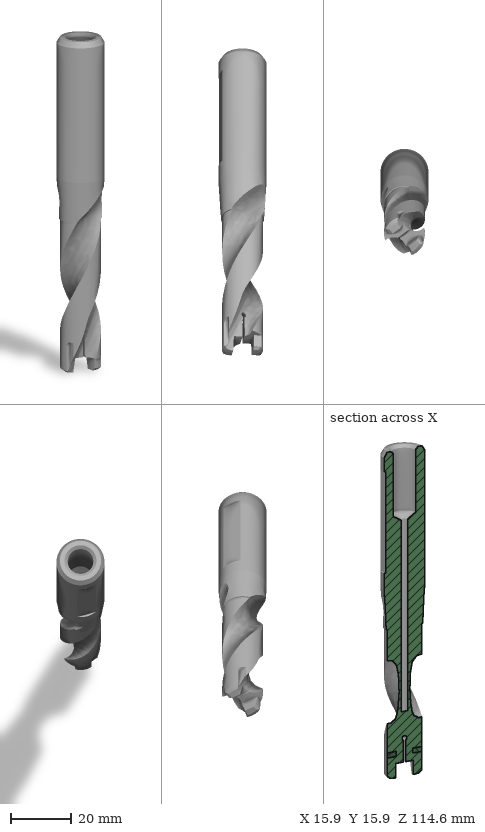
import cadquery as cq
import math

LENGTH = 114.6

SHANK_DIAMETER = 15.9
SHANK_BOTTOM = 66.6
TOP_CHAMFER_HEIGHT = 1.8
TOP_CHAMFER_WIDTH = 1.1
NECK_BOTTOM = 52.4
NECK_BOTTOM_DIAMETER = 14.3
CLAMP_FLAT_DEPTH = 0.7
CLAMP_FLAT_BOTTOM = 72.4
CLAMP_FLAT_TOP = 107.9

BORE_RADIUS = 4.2
BORE_DEPTH = 22.9
BORE_TIP_ANGLE = 118.0
COUNTERSINK_RADIUS = 5.3
COUNTERSINK_DEPTH = 1.0
COOLANT_RADIUS = 1.1
COOLANT_BOTTOM = 22.9

DRILL_DIAMETER = 13.5
CORE_RADIUS = 2.2
FLUTE_LEVEL = 50.4
UPPER_PITCH = 79.4
LOWER_PITCH = 88.3
UPPER_HALF_ANGLE = 50.0
LOWER_HALF_ANGLE = 37.0
PITCH_CHANGE_HEIGHT = 21.4
FLUTE_TOP = 53.1
NARROW_HEIGHT = 10.3
RUNOUT_RISE = 10.4
RUNOUT_SHIFT = 10.9
RUNOUT_OUTWARD = 0.9

SLOT_WIDTH = 6.5
SLOT_HEIGHT = 5.0
PRONG_SIDE_TOP = 3.8
PRONG_SIDE_BOTTOM = 3.3
PRONG_BEVEL = 1.0
TIP_CONE_RADIUS = 5.5
TIP_CONE_HEIGHT = 0.2
TIP_EDGE_HEIGHT = 1.1
SLIT_WIDTH = 0.7
SLIT_HOLE_HEIGHT = 13.4
SLIT_HOLE_RADIUS = 0.8
GULLET_SIDE = 1.8
GULLET_TOP = 11.1
GULLET_CORNER = 1.5
GULLET_FLOOR = 5.3

PIN_RADIUS = 1.0
PIN_OFFSET = 0.7
PIN_HEIGHT = 8.5
PIN_LENGTH = 3.4

SHANK_RADIUS = SHANK_DIAMETER / 2
DRILL_RADIUS = DRILL_DIAMETER / 2
NECK_BOTTOM_RADIUS = NECK_BOTTOM_DIAMETER / 2
REACH = SHANK_DIAMETER
CUT_MARGIN = 1.1
LOFT_STEPS = 4
AXIS_START = (0, 0, 0)
AXIS_END = (0, 0, 1)


def half_turn(shape):
    """Copy of a shape turned half a turn about the drill axis."""
    return shape.rotate(AXIS_START, AXIS_END, 180)


def revolve_profile(points):
    """Solid of revolution about Z from (radius, height) points."""
    return cq.Workplane("XZ").polyline(points).close().revolve(360, (0, 0, 0), (0, 1, 0))


def turned_blank():
    """Shank, tapered neck, drill diameter and conical tip before any cuts."""
    return revolve_profile(
        [
            (0, 0),
            (SLOT_WIDTH / 2, 0),
            (TIP_CONE_RADIUS, TIP_CONE_HEIGHT),
            (DRILL_RADIUS, TIP_EDGE_HEIGHT),
            (DRILL_RADIUS, NECK_BOTTOM),
            (NECK_BOTTOM_RADIUS, NECK_BOTTOM),
            (SHANK_RADIUS, SHANK_BOTTOM),
            (SHANK_RADIUS, LENGTH - TOP_CHAMFER_HEIGHT),
            (SHANK_RADIUS - TOP_CHAMFER_WIDTH, LENGTH),
            (0, LENGTH),
        ]
    )


def bore():
    """Countersunk bore with a drill-point floor that leads into the coolant passage."""
    floor = LENGTH - BORE_DEPTH
    cone_depth = (BORE_RADIUS - COOLANT_RADIUS) / math.tan(math.radians(BORE_TIP_ANGLE / 2))
    return revolve_profile(
        [
            (0, LENGTH),
            (COUNTERSINK_RADIUS, LENGTH),
            (BORE_RADIUS, LENGTH - COUNTERSINK_DEPTH),
            (BORE_RADIUS, floor),
            (COOLANT_RADIUS, floor - cone_depth),
            (COOLANT_RADIUS, COOLANT_BOTTOM),
            (0, COOLANT_BOTTOM),
        ]
    )


def clamp_flat():
    """Block that cuts the clamping flat on the +Y side of the shank."""
    return cq.Workplane(
        "XY", origin=(0, SHANK_RADIUS - CLAMP_FLAT_DEPTH, CLAMP_FLAT_BOTTOM)
    ).box(REACH, REACH, CLAMP_FLAT_TOP - CLAMP_FLAT_BOTTOM, centered=(True, False, False))


def flute_radius(half_angle):
    """Radius of the circle through the flute bottom and both land edges."""
    angle = math.radians(half_angle)
    depth = DRILL_RADIUS * math.cos(angle) - CORE_RADIUS
    half_chord = DRILL_RADIUS * math.sin(angle)
    return (half_chord**2 + depth**2) / (2 * depth)


def flute_angle(height):
    """Direction of the flute's middle at a height."""
    upper_height = max(height, PITCH_CHANGE_HEIGHT)
    upper_turn = 360 * (upper_height - FLUTE_LEVEL) / UPPER_PITCH
    lower_turn = 360 * (height - upper_height) / LOWER_PITCH
    return 180 + upper_turn + lower_turn


def flute_section(height):
    """Round flute section, which narrows below the change of pitch."""
    narrowing = (PITCH_CHANGE_HEIGHT - height) / (PITCH_CHANGE_HEIGHT - NARROW_HEIGHT)
    narrowing = min(max(narrowing, 0), 1)
    half_angle = UPPER_HALF_ANGLE + narrowing * (LOWER_HALF_ANGLE - UPPER_HALF_ANGLE)
    radius = flute_radius(half_angle)
    angle = math.radians(flute_angle(height))
    outward = cq.Vector(math.cos(angle), math.sin(angle), 0)
    sideways = cq.Vector(-math.sin(angle), math.cos(angle), 0)
    center = outward * (CORE_RADIUS + radius) + cq.Vector(0, 0, height)
    inner = center - outward * radius
    outer = center + outward * radius
    left = center + sideways * radius
    right = center - sideways * radius
    return cq.Wire.assembleEdges(
        [
            cq.Edge.makeThreePointArc(inner, right, outer),
            cq.Edge.makeThreePointArc(outer, left, inner),
        ]
    )


def upper_flute():
    """Helical flute of constant section up to the neck."""
    height = FLUTE_TOP - PITCH_CHANGE_HEIGHT
    radius = flute_radius(UPPER_HALF_ANGLE)
    return (
        cq.Workplane("XY", origin=(0, 0, PITCH_CHANGE_HEIGHT))
        .pushPoints([(CORE_RADIUS + radius, 0)])
        .circle(radius)
        .twistExtrude(height, 360 * height / UPPER_PITCH)
        .rotate(AXIS_START, AXIS_END, flute_angle(PITCH_CHANGE_HEIGHT))
    )


def lower_flute():
    """Slower, narrowing stretch of the flute down through the tip."""
    rise = (PITCH_CHANGE_HEIGHT + CUT_MARGIN) / LOFT_STEPS
    heights = [-CUT_MARGIN + step * rise for step in range(LOFT_STEPS + 1)]
    return cq.Workplane(cq.Solid.makeLoft([flute_section(height) for height in heights]))


def flute_runout():
    """Straight slanted stretch in which the flute leaves the neck."""
    face = cq.Face.makeFromWires(flute_section(FLUTE_TOP))
    slant = cq.Vector(RUNOUT_OUTWARD, RUNOUT_SHIFT, RUNOUT_RISE)
    slant = cq.Plane((0, 0, 0)).rotated((0, 0, flute_angle(FLUTE_TOP))).toWorldCoords(slant)
    return cq.Workplane(cq.Solid.extrudeLinear(face, slant))


def tip_slot():
    """Slot between the prongs, open along X."""
    return cq.Workplane("XY").box(
        REACH, SLOT_WIDTH, SLOT_HEIGHT, centered=(True, True, False)
    )


def relief_slit():
    """Thin slit above the slot, ended by a cross hole."""
    slit = cq.Workplane("XY").box(
        REACH, SLIT_WIDTH, SLIT_HOLE_HEIGHT, centered=(True, True, False)
    )
    hole = (
        cq.Workplane("YZ")
        .center(0, SLIT_HOLE_HEIGHT)
        .circle(SLIT_HOLE_RADIUS)
        .extrude(REACH, both=True)
    )
    return slit.union(hole)


def prong_side():
    """Cut that leaves the bevelled, tapered -X side of the -Y prong."""
    return (
        cq.Workplane("XZ")
        .polyline(
            [
                (-REACH, 0),
                (PRONG_BEVEL - PRONG_SIDE_BOTTOM, 0),
                (-PRONG_SIDE_BOTTOM, PRONG_BEVEL),
                (-PRONG_SIDE_TOP, SLOT_HEIGHT),
                (-REACH, SLOT_HEIGHT),
            ]
        )
        .close()
        .extrude(REACH)
    )


def gullet():
    """Round-cornered recess in the +X side of the -Y prong."""
    return (
        cq.Workplane("XZ", origin=(0, -GULLET_FLOOR, 0))
        .moveTo(GULLET_SIDE, 0)
        .lineTo(GULLET_SIDE, GULLET_TOP - GULLET_CORNER)
        .radiusArc((GULLET_SIDE + GULLET_CORNER, GULLET_TOP), GULLET_CORNER)
        .lineTo(REACH, GULLET_TOP)
        .lineTo(REACH, 0)
        .close()
        .extrude(REACH)
    )


def make_pin():
    """Pin in the -Y prong, its outer end flush with the drill diameter."""
    pin = (
        cq.Workplane("XZ", origin=(0, PIN_LENGTH - DRILL_RADIUS, 0))
        .center(-PIN_OFFSET, PIN_HEIGHT)
        .circle(PIN_RADIUS)
        .extrude(REACH)
    )
    return pin.intersect(turned_blank())


def make_holder(pins):
    """Drill holder with a matching hole for each pin."""
    body = turned_blank().cut(bore()).cut(clamp_flat()).cut(tip_slot()).cut(relief_slit())
    paired_cuts = [prong_side(), gullet(), lower_flute(), upper_flute(), flute_runout()]
    for cut in paired_cuts:
        body = body.cut(cut).cut(half_turn(cut))
    for pin in pins:
        body = body.cut(pin)
    return body


first_pin = make_pin()
pins = [first_pin, half_turn(first_pin)]
holder = make_holder(pins)

result = cq.Compound.makeCompound([holder.val(), *[pin.val() for pin in pins]])